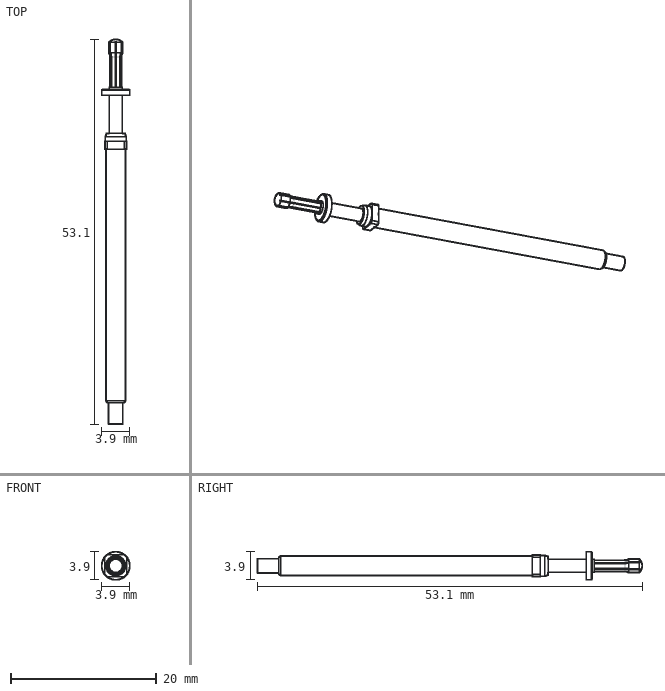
import cadquery as cq
import math


overall_length = 53.1

body_radius = 1.35
body_length = 34.7
shoulder_chamfer_length = 0.3
shoulder_radius = 1.15
tail_radius = 1.0
tail_length = 2.95
tail_chamfer = 0.08

square_across_flats = 3.0
square_thickness = 1.05
square_corner_radius = 1.92
collar_radius = 1.45
collar_front_radius = 1.3
collar_end = 2.15
collar_chamfer_length = 0.45

plunger_end = overall_length - body_length - shoulder_chamfer_length - tail_length
rod_radius = 0.925
flange_radius = 1.95
flange_chamfer = 0.15
flange_thickness = 0.85
flange_front = plunger_end - 6.9
flange_back = flange_front - flange_thickness

shaft_radius = 0.8
shaft_start = plunger_end - 6.6
neck_length = 0.6
head_radius = 0.97
head_length = 1.85
head_start = plunger_end - head_length
shaft_end = head_start - neck_length
dome_height = 0.45
dome_start = plunger_end - dome_height

groove_count = 6
groove_width = 0.1
groove_depth = 0.1


def turned(profile):
    """Solid of revolution about Y; the profile runs in (y, radius) from the axis back to the axis."""
    return profile.close().revolve(360, (0, 0), (1, 0))


def barrel():
    """Tail pin with a broken end edge, chamfered shoulder, tube and collar ring."""
    shoulder = -body_length - shoulder_chamfer_length
    tail_end = shoulder - tail_length
    return turned(
        cq.Workplane("YZ")
        .moveTo(tail_end, 0)
        .lineTo(tail_end, tail_radius - tail_chamfer)
        .lineTo(tail_end + tail_chamfer, tail_radius)
        .lineTo(shoulder, tail_radius)
        .lineTo(shoulder, shoulder_radius)
        .lineTo(-body_length, body_radius)
        .lineTo(0, body_radius)
        .lineTo(0, collar_radius)
        .lineTo(collar_end - collar_chamfer_length, collar_radius)
        .lineTo(collar_end, collar_front_radius)
        .lineTo(collar_end, 0)
    )


def square_stop():
    """Square plate with its corners turned down to a circle."""
    plate = cq.Workplane("XZ").rect(square_across_flats, square_across_flats).extrude(-square_thickness)
    corner_limit = cq.Workplane("XZ").circle(square_corner_radius).extrude(-square_thickness)
    return plate.intersect(corner_limit)


def neck_middle():
    """(y, radius) halfway along the neck, on a concave arc that leaves the shaft tangentially."""
    rise = head_radius - shaft_radius
    arc_radius = (neck_length**2 + rise**2) / (2 * rise)
    half_length = neck_length / 2
    radius = shaft_radius + arc_radius - math.sqrt(arc_radius**2 - half_length**2)
    return shaft_end + half_length, radius


def plunger():
    """Rod with flange, thinner shaft, neck flaring in a concave arc, and a head with a spherical dome."""
    dome_radius = (head_radius**2 + dome_height**2) / (2 * dome_height)
    half_angle = math.asin(head_radius / dome_radius) / 2
    dome_middle_y = plunger_end - dome_radius * (1 - math.cos(half_angle))
    dome_middle = (dome_middle_y, dome_radius * math.sin(half_angle))
    return turned(
        cq.Workplane("YZ")
        .lineTo(0, rod_radius)
        .lineTo(flange_back, rod_radius)
        .lineTo(flange_back, flange_radius)
        .lineTo(flange_front - flange_chamfer, flange_radius)
        .lineTo(flange_front, flange_radius - flange_chamfer)
        .lineTo(flange_front, rod_radius)
        .lineTo(shaft_start, rod_radius)
        .lineTo(shaft_start, shaft_radius)
        .lineTo(shaft_end, shaft_radius)
        .threePointArc(neck_middle(), (head_start, head_radius))
        .lineTo(dome_start, head_radius)
        .threePointArc(dome_middle, (plunger_end, 0))
    )


def groove_cutters():
    """Slots of one depth along the shaft, neck and head, running out in the tip dome; the first is at +Z."""
    middle_y, middle_radius = neck_middle()
    shaft_floor = shaft_radius - groove_depth
    head_floor = head_radius - groove_depth
    clear_radius = head_radius + groove_depth
    slot = (
        cq.Workplane("YZ")
        .moveTo(shaft_start, clear_radius)
        .lineTo(shaft_start, shaft_floor)
        .lineTo(shaft_end, shaft_floor)
        .threePointArc((middle_y, middle_radius - groove_depth), (head_start, head_floor))
        .lineTo(plunger_end, head_floor)
        .lineTo(plunger_end, clear_radius)
        .close()
        .extrude(groove_width / 2, both=True)
    )
    cutters = cq.Workplane("XY")
    for index in range(groove_count):
        angle = index * 360 / groove_count
        cutters = cutters.add(slot.rotate((0, 0, 0), (0, 1, 0), angle))
    return cutters.combine()


result = barrel().union(square_stop()).union(plunger()).cut(groove_cutters())